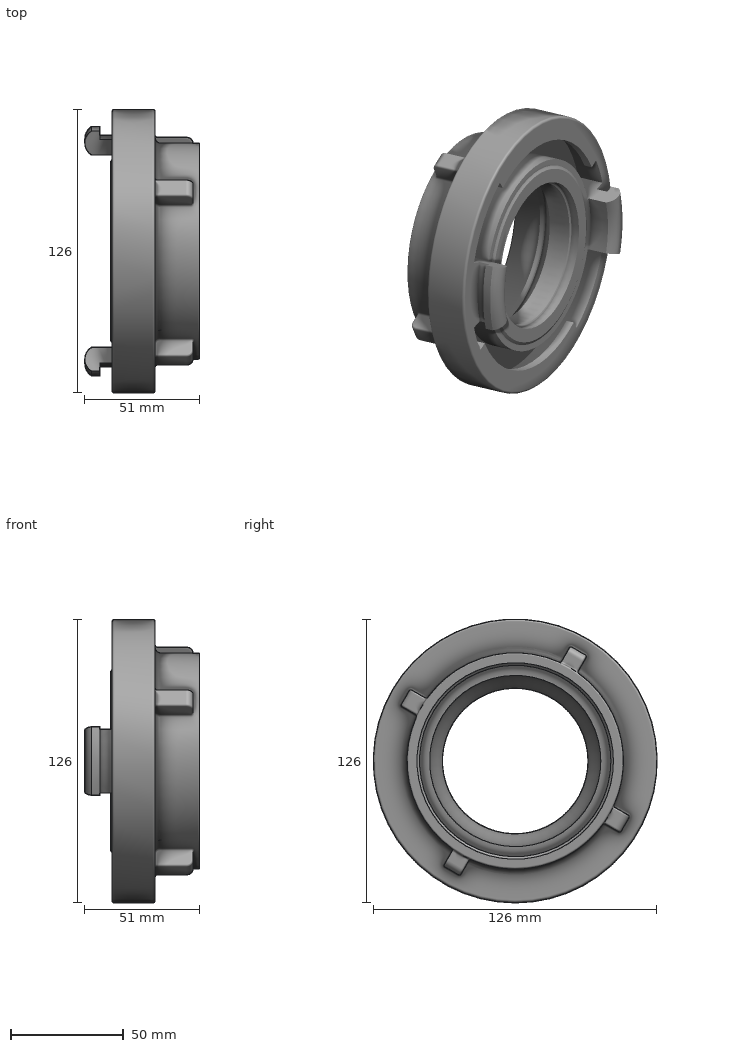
import cadquery as cq

total_length = 51.0

ring_radius = 63.0
ring_front = 12.1
ring_back = 31.2
ring_edge_radius = 1.1

socket_radius = 48.0
socket_end_radius = 0.8
socket_root_radius = 2.5
thread_radius = 42.5
thread_front = 34.5
seat_radius = 76.0 / 2
seat_front = 31.8
throat_back = 26.0
mouth_chamfer = 1.1

seal_front = 11.3
seal_radius = 81.5 / 2
seal_bevel_width = 1.4
seal_bore_radius = 33.3
bore_radius = 32.3
seal_bore_end = 15.2
bore_front = 15.6

groove_inner_radius = 43.6
groove_outer_radius = 56.6
groove_floor = 24.7
lip_radius = 52.4
lip_thickness = 3.8
entry_start_angle = -30.0
entry_end_angle = 55.0

hook_half_angle = 16.0
hook_inner_radius = 44.4
hook_neck_radius = 51.5
hook_tip_radius = 55.5
hook_head_length = 6.7
hook_crown_height = 3.0

lug_count = 4
lug_angle = 150.0
lug_width = 8.6
lug_radius = 56.3
lug_back = 48.1
lug_corner_radius = 3.2
lug_edge_radius = 0.9
lug_root_radius = 0.9

slack = 0.1
overlap = 1.3


def turned(profile, start_angle=0.0, sweep=360.0):
    """Revolve an (x, radius) outline about X; angles run from +Y towards +Z."""
    solid = profile.close().revolve(sweep, (0, 0, 0), (1, 0, 0))
    return solid.rotate((0, 0, 0), (1, 0, 0), start_angle)


def tube(x_start, x_end, inner, outer, start_angle=0.0, sweep=360.0):
    outline = [(x_start, inner), (x_end, inner), (x_end, outer), (x_start, outer)]
    return turned(cq.Workplane("XY").polyline(outline), start_angle, sweep)


def inside_box(centre, half_sizes):
    """Selector for the edges lying wholly within a box."""
    low = tuple(c - h for c, h in zip(centre, half_sizes))
    high = tuple(c + h for c, h in zip(centre, half_sizes))
    return cq.selectors.BoxSelector(low, high, boundingbox=True)


def make_lug():
    """Flat radial block with a rounded rear corner and softened edges."""
    bottom = socket_radius - 2 * overlap
    lug = (
        cq.Workplane("XY")
        .box(
            lug_back - ring_back + overlap,
            lug_radius - bottom,
            lug_width,
            centered=(False, False, True),
        )
        .translate((ring_back - overlap, bottom, 0))
    )
    lug = lug.edges(">X and >Y").fillet(lug_corner_radius)
    lug = lug.faces(">Z or <Z").edges("not(<X or <Y)").fillet(lug_edge_radius)
    return lug


def make_outside():
    """Solid ring and socket with the wrench lugs."""
    ring = tube(ring_front, ring_back, 0, ring_radius)
    ring = ring.edges("%CIRCLE").fillet(ring_edge_radius)
    socket = tube(ring_back - overlap, total_length, 0, socket_radius)
    socket = socket.faces(">X").edges().fillet(socket_end_radius)
    outside = ring.union(socket)
    outside = outside.edges(
        inside_box((ring_back, 0, 0), (slack, socket_radius + slack, socket_radius + slack))
    ).fillet(socket_root_radius)

    lug = make_lug()
    root_top = socket_radius + socket_root_radius + slack
    lug_middle = (ring_back + lug_back) / 2
    on_ring = inside_box((ring_back, lug_radius, 0), (slack, lug_radius - socket_radius, lug_width))
    on_socket = inside_box(
        (lug_middle, root_top - lug_width / 2, 0),
        (lug_back - lug_middle + slack, lug_width / 2, lug_width),
    )
    for _ in range(lug_count):
        outside = outside.union(lug)
        outside = outside.edges(on_ring + on_socket).fillet(lug_root_radius)
        outside = outside.rotate((0, 0, 0), (1, 0, 0), 360.0 / lug_count)
    return outside.rotate((0, 0, 0), (1, 0, 0), lug_angle)


def make_bore():
    """Stepped hole: seal bore, throat, conical seat, thread bore and chamfered mouth."""
    outline = [
        (seal_front, 0),
        (seal_front, seal_bore_radius),
        (seal_bore_end, seal_bore_radius),
        (bore_front, bore_radius),
        (throat_back, bore_radius),
        (seat_front, seat_radius),
        (thread_front, seat_radius),
        (thread_front, thread_radius),
        (total_length - mouth_chamfer, thread_radius),
        (total_length, thread_radius + mouth_chamfer),
        (total_length, 0),
    ]
    return turned(cq.Workplane("XY").polyline(outline))


def make_seal_rim():
    """Bevelled disc standing proud of the ring face."""
    outline = [
        (ring_front + overlap, 0),
        (ring_front + overlap, seal_radius),
        (ring_front, seal_radius),
        (seal_front, seal_radius - seal_bevel_width),
        (seal_front, 0),
    ]
    return turned(cq.Workplane("XY").polyline(outline))


def cut_groove(body):
    """Cut the groove, then close its outer edge with a lip except where mating hooks enter."""
    body = body.cut(tube(ring_front - overlap, groove_floor, groove_inner_radius, groove_outer_radius))
    lip_back = ring_front + lip_thickness
    lip_sweep = 180 + entry_start_angle - entry_end_angle
    for side in (0, 180):
        lip = tube(
            ring_front,
            lip_back,
            lip_radius,
            groove_outer_radius + overlap,
            side + entry_end_angle,
            lip_sweep,
        )
        body = body.union(lip)
    return body


def make_hook(centre_angle):
    """Hook with a domed, outward-facing head, standing on a block that fills the groove."""
    start = centre_angle - hook_half_angle
    sweep = 2 * hook_half_angle
    block = tube(ring_front, groove_floor, groove_inner_radius, groove_outer_radius, start, sweep)
    outline = (
        cq.Workplane("XY")
        .moveTo(ring_front + overlap, hook_inner_radius)
        .lineTo(hook_crown_height, hook_inner_radius)
        .threePointArc(
            (0, (hook_inner_radius + hook_tip_radius) / 2),
            (hook_crown_height, hook_tip_radius),
        )
        .lineTo(hook_head_length, hook_tip_radius)
        .lineTo(hook_head_length, hook_neck_radius)
        .lineTo(ring_front + overlap, hook_neck_radius)
    )
    return block.union(turned(outline, start, sweep))


body = cut_groove(make_outside().union(make_seal_rim()).cut(make_bore()))
for hook_angle in (0, 180):
    body = body.union(make_hook(hook_angle))

result = body.clean()